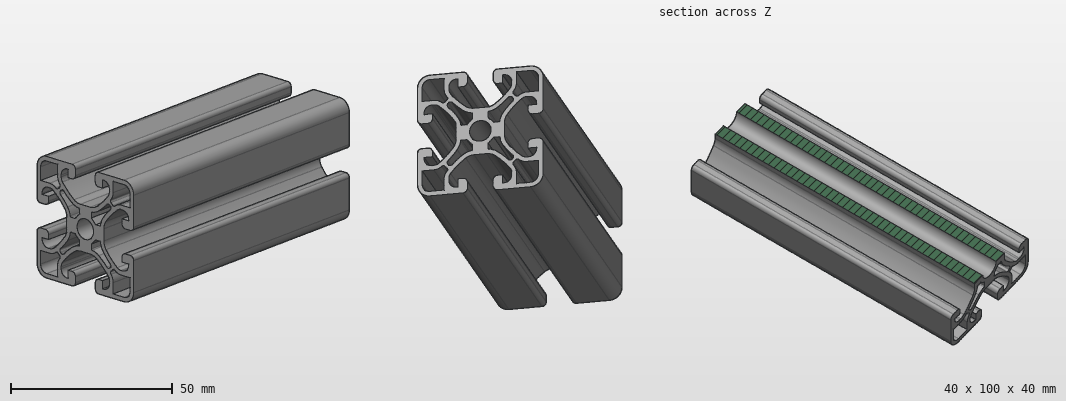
import cadquery as cq
import math

WIDTH = 40.0
LENGTH = 100.0
HALF = WIDTH / 2
CORNER_RADIUS = 4.0
BORE_DIAMETER = 6.8

MOUTH_HALF_WIDTH = 4.1
LIP_DEPTH = 4.8
LIP_WIDTH = 3.0
LIP_RADIUS = 1.4
UNDERCUT_CEILING = 17.9
UNDERCUT_HALF_WIDTH = 10.0
UNDERCUT_TOP_RADIUS = 2.5

SLOT_FLOOR = 7.7
FLAT_HALF_WIDTH = 2.0
FLOOR_RADIUS = 4.5
FLOOR_END_SLOPE = math.radians(36)
WEB_RADIUS = 24.0
WEB_END_SLOPE = math.radians(52)

WALL = 1.5
POCKET_CORNER_RADIUS = CORNER_RADIUS - WALL
POCKET_TIP_RADIUS = 0.6
SLIT_END = 14.4
BRIDGE_THICKNESS = 1.1
SLIT_TIP_RADIUS = 0.8
SLIT_CORNER_RADIUS = 0.3
CORE_HALF_WIDTH = 2.5
CORE_CHAMFER = 1.8


def profile_plane():
    return cq.Workplane("XZ", origin=(0, LENGTH / 2, 0))


def round_edge(solid, x, z, radius):
    """Fillet the lengthwise edge nearest to (x, z)."""
    nearest = cq.selectors.NearestToPointSelector((x, 0, z))
    return solid.edges("|Y").edges(nearest).fillet(radius)


def round_end_face(solid, distance, radius):
    """Fillet both long edges of the face square to the diagonal at a distance from the centre."""
    coordinate = distance / math.sqrt(2)
    nearest = cq.selectors.NearestToPointSelector((coordinate, 0, coordinate))
    return solid.faces(nearest).edges("|Y").fillet(radius)


def floor_arcs(offset):
    """(middle, end) points of the three arcs right of the floor's flat, moved outward by offset."""
    x = FLAT_HALF_WIDTH
    z = SLOT_FLOOR
    slope = 0.0
    arcs = []
    floor_end_x = FLAT_HALF_WIDTH + FLOOR_RADIUS * math.sin(FLOOR_END_SLOPE)
    web_end_x = floor_end_x + WEB_RADIUS * (math.sin(WEB_END_SLOPE) - math.sin(FLOOR_END_SLOPE))
    side_radius = (UNDERCUT_HALF_WIDTH - web_end_x) / (1 - math.sin(WEB_END_SLOPE))
    for radius, end_slope in (
        (FLOOR_RADIUS, FLOOR_END_SLOPE),
        (WEB_RADIUS, WEB_END_SLOPE),
        (side_radius, math.pi / 2),
    ):
        center_x = x - radius * math.sin(slope)
        center_z = z + radius * math.cos(slope)

        def arc_point(angle, distance):
            return center_x + distance * math.sin(angle), center_z - distance * math.cos(angle)

        arcs.append((
            arc_point((slope + end_slope) / 2, radius + offset),
            arc_point(end_slope, radius + offset),
        ))
        x, z = arc_point(end_slope, radius)
        slope = end_slope
    return arcs


def trough(top, offset=0.0):
    """Slot interior from its floor up to top, grown outward by offset."""
    half_width = UNDERCUT_HALF_WIDTH + offset
    floor = SLOT_FLOOR - offset
    outline = profile_plane().moveTo(0, top).lineTo(0, floor).lineTo(FLAT_HALF_WIDTH, floor)
    for middle, end in floor_arcs(offset):
        outline = outline.threePointArc(middle, end)
    half = outline.lineTo(half_width, top).close().extrude(LENGTH)
    return half.union(half.mirror("YZ")).clean()


def t_slot():
    undercut = trough(UNDERCUT_CEILING)
    for side in (-UNDERCUT_HALF_WIDTH, UNDERCUT_HALF_WIDTH):
        undercut = round_edge(undercut, side, UNDERCUT_CEILING, UNDERCUT_TOP_RADIUS)

    lip_bottom = HALF - LIP_DEPTH
    for side in (-1, 1):
        lip_center = side * (MOUTH_HALF_WIDTH + LIP_WIDTH / 2)
        lip = profile_plane().center(lip_center, (HALF + lip_bottom) / 2).rect(LIP_WIDTH, LIP_DEPTH)
        undercut = undercut.cut(lip.extrude(LENGTH))

    mouth = profile_plane().center(0, (HALF + lip_bottom) / 2).rect(2 * MOUTH_HALF_WIDTH, LIP_DEPTH)
    return undercut.union(mouth.extrude(LENGTH)).clean()


def between_walls(corners):
    """Prism over (x, z) corners, less everything within a wall thickness of the two nearby slots."""
    slot_and_wall = trough(HALF, WALL)
    prism = profile_plane().polyline(corners).close().extrude(LENGTH)
    return prism.cut(slot_and_wall).cut(slot_and_wall.rotate((0, 0, 0), (0, 1, 0), 90))


def corner_pocket():
    far = HALF - WALL
    start = SLIT_END + BRIDGE_THICKNESS
    near = start * math.sqrt(2) - far
    pocket = between_walls([(near, far), (far, near), (far, far)])
    pocket = round_edge(pocket, far, far, POCKET_CORNER_RADIUS)
    return round_end_face(pocket, start, POCKET_TIP_RADIUS)


def web_slit():
    near = CORE_HALF_WIDTH
    chamfer_end = near + CORE_CHAMFER
    far = SLIT_END * math.sqrt(2) - near
    slit = between_walls([(near, chamfer_end), (near, far), (far, near), (chamfer_end, near)])
    ceiling = SLOT_FLOOR - WALL
    slit = round_edge(slit, near, ceiling, SLIT_CORNER_RADIUS)
    slit = round_edge(slit, ceiling, near, SLIT_CORNER_RADIUS)
    return round_end_face(slit, SLIT_END, SLIT_TIP_RADIUS)


body = cq.Workplane("XY").box(WIDTH, LENGTH, WIDTH)
body = body.cut(profile_plane().circle(BORE_DIAMETER / 2).extrude(LENGTH))

cutters = (t_slot(), corner_pocket(), web_slit())
for quarter in range(4):
    for cutter in cutters:
        body = body.cut(cutter.rotate((0, 0, 0), (0, 1, 0), 90 * quarter))

for side in (-HALF, HALF):
    for other_side in (-HALF, HALF):
        body = round_edge(body, side, other_side, CORNER_RADIUS)
    for mouth_side in (-MOUTH_HALF_WIDTH, MOUTH_HALF_WIDTH):
        for depth in (0, LIP_DEPTH):
            lip_edge = math.copysign(HALF - depth, side)
            body = round_edge(body, mouth_side, lip_edge, LIP_RADIUS)
            body = round_edge(body, lip_edge, mouth_side, LIP_RADIUS)

result = body